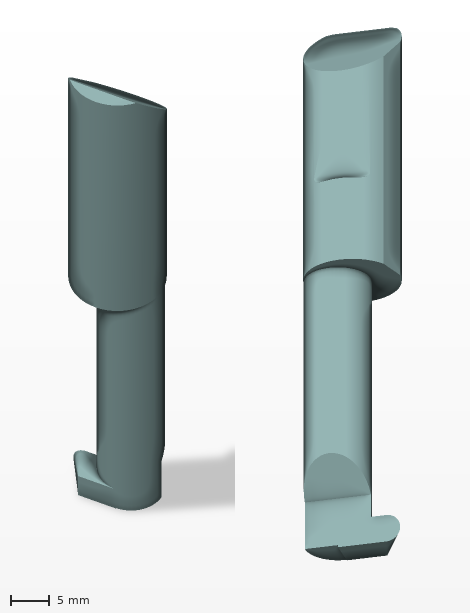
import cadquery as cq
import math

LENGTH = 76.1
SHANK_DIA = 12.7
SHANK_R = SHANK_DIA / 2
SHANK_BOTTOM = LENGTH / 2
SIDE_FLAT_ANGLE = 162.0
SIDE_FLAT_HALF_ANGLE = 18.0
TOP_LAND = 1.8
RIM_CHAMFER_HEIGHT = 0.3
RIM_CHAMFER_WIDTH = 0.45

NOTCH_TOP = 58.4
NOTCH_BOTTOM = 49.8
NOTCH_DEPTH = 1.4
NOTCH_RADIUS = 0.9

NECK_R = 4.4
NECK_X = SHANK_R - NECK_R
NECK_BOTTOM = 0.3
RAKE_Y = 0.0
RELIEF_BOTTOM = 7.0

TOOTH_HEIGHT = 3.8
TOOTH_TIP_X = -SHANK_R
HEEL_X = -3.465
HEEL_BOTTOM = 0.2
HEEL_TOP = 3.7
TIP_LAND = 0.1
HEEL_CORNER_R = 0.04


def x_prism(points):
    """Prism spanning the whole shank in X from a closed (Y, Z) outline."""
    return cq.Workplane("YZ").polyline(points).close().extrude(SHANK_R, both=True)


def make_shank():
    shank = (
        cq.Workplane("XZ")
        .moveTo(0, SHANK_BOTTOM)
        .lineTo(SHANK_R, SHANK_BOTTOM)
        .lineTo(SHANK_R, LENGTH - RIM_CHAMFER_HEIGHT)
        .lineTo(SHANK_R - RIM_CHAMFER_WIDTH, LENGTH)
        .lineTo(0, LENGTH)
        .close()
        .revolve(360, (0, 0), (0, 1))
    )

    flat_distance = SHANK_R * math.cos(math.radians(SIDE_FLAT_HALF_ANGLE))
    flat_cutter = (
        cq.Workplane("XY")
        .box(SHANK_R, SHANK_DIA, LENGTH, centered=(False, True, False))
        .translate((flat_distance, 0, 0))
        .rotate((0, 0, 0), (0, 0, 1), SIDE_FLAT_ANGLE)
    )

    bevel_y = TOP_LAND - SHANK_R
    bevel_drop = SHANK_R - bevel_y
    bevel = x_prism([(bevel_y, LENGTH), (SHANK_R, LENGTH), (SHANK_R, LENGTH - bevel_drop)])
    return shank.cut(flat_cutter).cut(bevel).cut(make_notch())


def make_notch():
    floor_y = SHANK_R - NOTCH_DEPTH
    notch = x_prism([(SHANK_R, NOTCH_TOP), (floor_y, NOTCH_BOTTOM), (SHANK_R, NOTCH_BOTTOM)])
    floor_edge = cq.selectors.NearestToPointSelector((0, floor_y, NOTCH_BOTTOM))
    return notch.edges(floor_edge).fillet(NOTCH_RADIUS)


def make_neck():
    neck = (
        cq.Workplane("XY", origin=(NECK_X, 0, NECK_BOTTOM))
        .circle(NECK_R)
        .extrude(SHANK_BOTTOM - NECK_BOTTOM)
    )
    relief = x_prism([
        (RAKE_Y, 0),
        (SHANK_R, 0),
        (SHANK_R, RELIEF_BOTTOM + SHANK_R - RAKE_Y),
        (RAKE_Y, RELIEF_BOTTOM),
    ])
    return neck.cut(relief)


def tooth_section(y, tip_x, bottom, top, radius):
    """Wire at a given Y: a rectangle whose two -X corners are rounded."""
    diagonal = radius * (1 - math.sqrt(0.5))
    return (
        cq.Workplane("XZ", origin=(0, y, 0))
        .moveTo(NECK_X, bottom)
        .lineTo(tip_x + radius, bottom)
        .threePointArc((tip_x + diagonal, bottom + diagonal), (tip_x, bottom + radius))
        .lineTo(tip_x, top - radius)
        .threePointArc((tip_x + diagonal, top - diagonal), (tip_x + radius, top))
        .lineTo(NECK_X, top)
        .close()
        .val()
    )


def make_tooth():
    nose_r = (TOOTH_HEIGHT - TIP_LAND) / 2
    nose = tooth_section(RAKE_Y, TOOTH_TIP_X, 0, TOOTH_HEIGHT, nose_r)
    heel = tooth_section(-NECK_R, HEEL_X, HEEL_BOTTOM, HEEL_TOP, HEEL_CORNER_R)
    return cq.Workplane(cq.Solid.makeLoft([nose, heel], True))


result = make_shank().union(make_neck()).union(make_tooth())